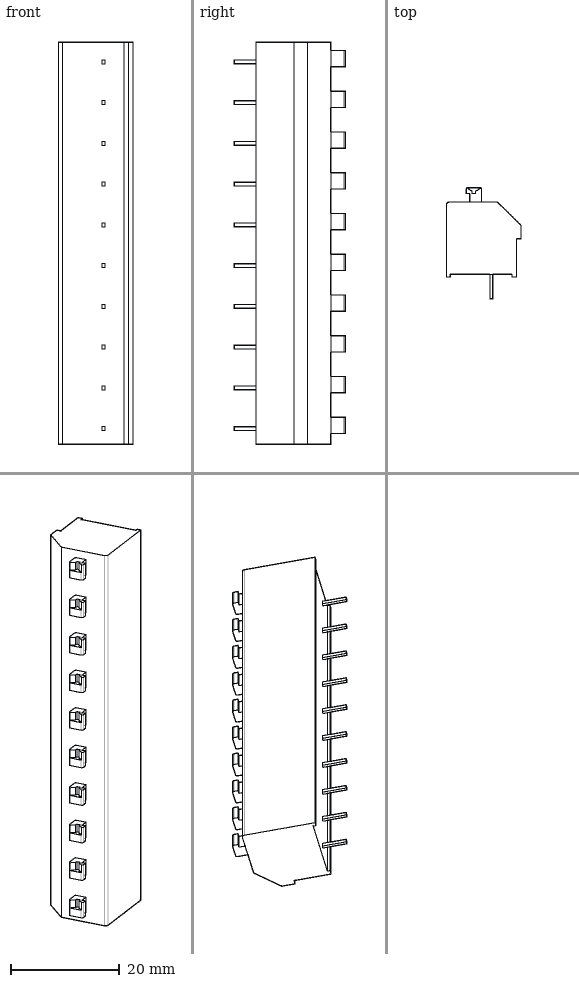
import cadquery as cq

length = 74.0
housing_width = 12.95
lip_width = 0.8
housing_depth = 13.85
slope_start = 9.4
slope_drop = 4.3
lip_drop = 6.8
corner_radius = 0.5

foot_height = 0.5
left_foot_width = 0.75
right_foot_width = 0.9

pole_count = 10
pole_span = 67.5
pole_pitch = pole_span / (pole_count - 1)
first_pin_z = 2.9

pin_width = 0.5
pin_height = 0.75
pin_length = 4.0
pin_x = 8.3

button_shift = 0.6
button_height = 3.0
button_rise = 2.7
stem_left = 4.3
stem_right = 6.5
head_overhang = 0.7
head_thickness = 1.1
head_radius = 0.4

dish_width = 2.4
dish_depth = 0.7
slot_width = 0.7
slot_depth = 1.1
recess_height = button_height / 2


def make_housing():
    right = housing_width + lip_width
    profile = (
        cq.Workplane("XY")
        .moveTo(0, 0)
        .lineTo(left_foot_width, 0)
        .lineTo(left_foot_width, foot_height)
        .lineTo(housing_width - right_foot_width, foot_height)
        .lineTo(housing_width - right_foot_width, 0)
        .lineTo(housing_width, 0)
        .lineTo(housing_width, housing_depth - lip_drop)
        .lineTo(right, housing_depth - lip_drop)
        .lineTo(right, housing_depth - slope_drop)
        .lineTo(slope_start, housing_depth)
        .lineTo(corner_radius, housing_depth)
        .radiusArc((0, housing_depth - corner_radius), -corner_radius)
        .close()
    )
    return profile.extrude(length)


def make_pin(center_z):
    full_length = pin_length + foot_height
    return cq.Workplane("XY").box(pin_width, full_length, pin_height).translate(
        (pin_x, foot_height - full_length / 2, center_z)
    )


def make_button(center_z):
    top = housing_depth + button_rise
    head_left = stem_left - head_overhang
    body = (
        cq.Workplane("XY")
        .moveTo(stem_left, housing_depth)
        .lineTo(stem_right, housing_depth)
        .lineTo(stem_right, top - head_radius)
        .radiusArc((stem_right - head_radius, top), -head_radius)
        .lineTo(head_left + head_radius, top)
        .radiusArc((head_left, top - head_radius), -head_radius)
        .lineTo(head_left, top - head_thickness)
        .lineTo(stem_left, top - head_thickness)
        .close()
        .extrude(button_height)
    )
    head_center = (head_left + stem_right) / 2
    dish = (
        cq.Workplane("XY")
        .moveTo(head_center - dish_width / 2, top)
        .threePointArc((head_center, top - dish_depth), (head_center + dish_width / 2, top))
        .close()
        .extrude(recess_height)
    )
    slot = (
        cq.Workplane("XY")
        .rect(slot_width, slot_depth)
        .extrude(recess_height)
        .translate((head_center, top - slot_depth / 2, 0))
    )
    recess = dish.union(slot).translate((0, 0, button_height - recess_height))
    return body.cut(recess).translate((0, 0, center_z - button_height / 2))


result = make_housing()
for pole in range(pole_count):
    pin_z = first_pin_z + pole * pole_pitch
    result = result.union(make_pin(pin_z))
    result = result.union(make_button(pin_z + button_shift))